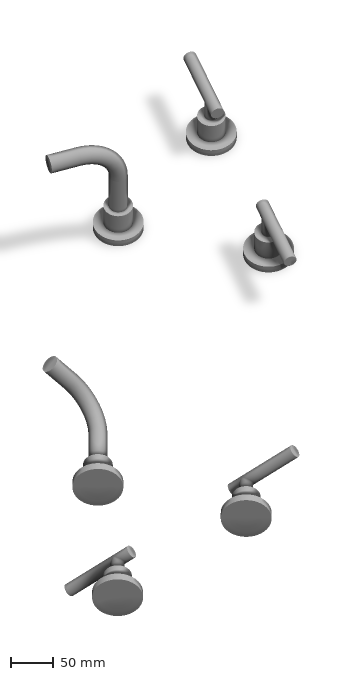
import cadquery as cq

flange_diameter = 60.0
flange_height = 10.0

handle_offset_x = 100.0
handle_offset_y = 152.7

spout_collar_diameter = 35.2
spout_collar_top = 38.5
spout_diameter = 22.5
spout_top = 152.5
spout_reach = 87.3
bend_radius = 50.0
spout_axis_z = spout_top - spout_diameter / 2
bend_start_z = spout_axis_z - bend_radius

handle_collar_diameter = 33.8
handle_collar_top = 37.5
lever_diameter = 16.2
lever_axis_z = 63.7
lever_outer_x = 176.0
lever_length = 97.8
lever_end_fillet = 0.7
stem_diameter = lever_diameter
stem_top_fillet = 1.8
stem_foot_fillet = 0.7


def make_base(collar_diameter, collar_top):
    """Round flange on the ground with a collar standing on it."""
    flange = cq.Workplane("XY").circle(flange_diameter / 2).extrude(flange_height)
    collar = cq.Workplane("XY").circle(collar_diameter / 2).extrude(collar_top)
    return flange.union(collar)


def make_spout():
    """Base with a round bar that rises, bends a quarter turn and points along -Y."""
    path = (
        cq.Workplane("YZ")
        .moveTo(0, spout_collar_top)
        .lineTo(0, bend_start_z)
        .radiusArc((-bend_radius, spout_axis_z), -bend_radius)
        .lineTo(-spout_reach, spout_axis_z)
    )
    bar = (
        cq.Workplane("XY", origin=(0, 0, spout_collar_top))
        .circle(spout_diameter / 2)
        .sweep(path)
    )
    return make_base(spout_collar_diameter, spout_collar_top).union(bar)


def make_handle(side):
    """Base, stem and lever; side is -1 for the left handle and 1 for the right one."""
    stem = (
        cq.Workplane("XY", origin=(0, 0, handle_collar_top))
        .circle(stem_diameter / 2)
        .extrude(lever_axis_z - handle_collar_top)
    )
    lever_outer_end = side * (lever_outer_x - handle_offset_x)
    lever = (
        cq.Workplane("YZ", origin=(lever_outer_end, 0, lever_axis_z))
        .circle(lever_diameter / 2)
        .extrude(-side * lever_length)
    )
    lever = lever.faces(">X" if side > 0 else "<X").edges().fillet(lever_end_fillet)

    post = make_base(handle_collar_diameter, handle_collar_top).union(stem)
    stem_circles = post.edges("%CIRCLE").edges(cq.selectors.RadiusNthSelector(0))
    post = stem_circles.edges("<Z").fillet(stem_foot_fillet)

    handle = post.union(lever).edges("%ELLIPSE").fillet(stem_top_fillet)
    return handle.translate((side * handle_offset_x, handle_offset_y, 0))


spout = make_spout()
handles = [make_handle(side) for side in (-1, 1)]

result = cq.Compound.makeCompound([spout.val(), *[handle.val() for handle in handles]])